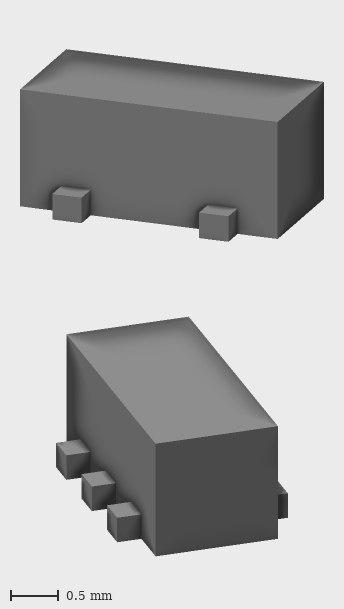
import cadquery as cq

body_length = 2.89
body_width = 1.355
body_height = 1.3

overall_width = 1.89
lead_width = 0.33
lead_height = 0.283
lead_pitch = 0.825
row_offset = 0.005

front_lead_places = [row_offset - lead_pitch, row_offset + lead_pitch]
back_lead_places = [row_offset - lead_pitch, row_offset, row_offset + lead_pitch]


def make_lead(x, side):
    """Block from the body centre plane outward; side is -1 (front) or +1 (back)."""
    reach = overall_width / 2
    return (
        cq.Workplane("XY")
        .center(x, side * reach / 2)
        .rect(lead_width, reach)
        .extrude(lead_height)
    )


result = cq.Workplane("XY").rect(body_length, body_width).extrude(body_height)

for x in front_lead_places:
    result = result.union(make_lead(x, -1))

for x in back_lead_places:
    result = result.union(make_lead(x, 1))